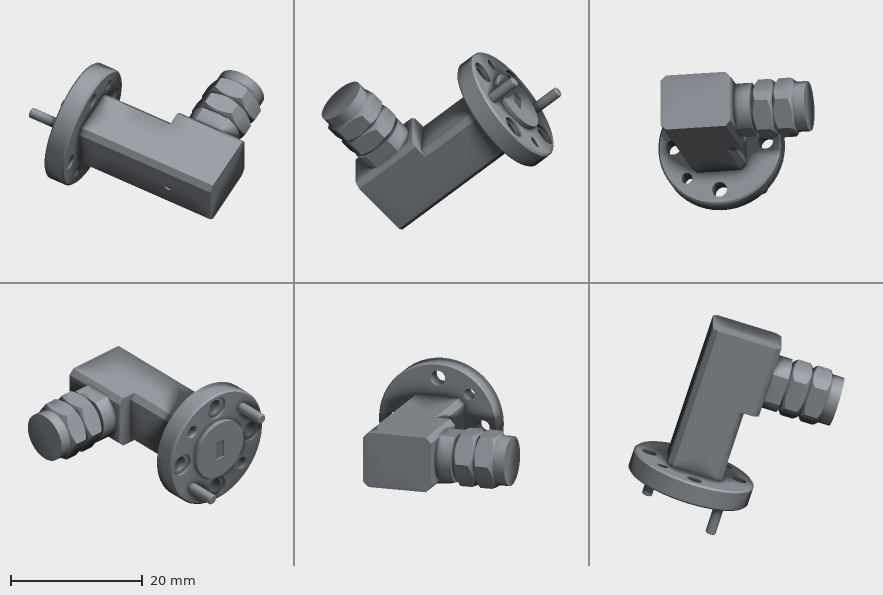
import cadquery as cq
import math


boss_diameter = 9.53
boss_height = 0.75
flange_diameter = 2 * boss_diameter
flange_thickness = 3.33
flange_chamfer = 0.27
flange_front = boss_height
flange_back = flange_front + flange_thickness

opening_width = 1.55
opening_height = 2 * opening_width
opening_depth = 0.25

bolt_circle_diameter = 14.3
screw_hole_diameter = 2.32
counterbore_diameter = 3.6
counterbore_depth = 0.5
pin_diameter = 1.6
pin_hole_chamfer = 0.1
guide_hole_diameter = 1.7
guide_hole_chamfer = 0.15
screw_hole_angles = (0, 90, 180, 270)
pin_angles = (135, 315)
guide_hole_angles = (45, 225)

pin_tip_chamfer = 0.15
pin_projection = 3.85

overall_length = 30.55
block_side = 8.58
block_chamfer = 0.82
block_end = overall_length - pin_projection
wide_length = 11.2
wide_face_y = 6.6

tuning_hole_x = 19.42
tuning_recess_diameter = 1.2
tuning_recess_depth = 0.37
tuning_hole_diameter = 0.67
tuning_hole_chamfer = 0.1
tuning_hole_depth = 0.25
tuning_tip_angle = 118

connector_x = 20.37
base_diameter = 8.4
base_length = 2.47
base_across_flats = 7.2
neck_diameter = 6.95
neck_length = 0.25
nut_across_flats = 7.97
nut_across_corners = nut_across_flats / math.cos(math.pi / 6)
nut_length = 3.18
nut_end_diameter = 7.5
nut_chamfer_length = 0.65
nut_count = 2
sleeve_diameter = 7.65
sleeve_length = 1.77


def cylinder_x(diameter, start, end):
    """Cylinder on the flange axis between two X positions."""
    return cq.Workplane("YZ", origin=(start, 0, 0)).circle(diameter / 2).extrude(end - start)


def cylinder_y(diameter, x, start, length):
    """Cylinder along +Y at z = 0, starting at the given Y position."""
    return cq.Workplane("XZ", origin=(x, start, 0)).circle(diameter / 2).extrude(-length)


def cone_x(start_diameter, end_diameter, length, start):
    """Tapered plug along +X on the flange axis."""
    start_point = cq.Vector(start, 0, 0)
    axis = cq.Vector(1, 0, 0)
    cone = cq.Solid.makeCone(start_diameter / 2, end_diameter / 2, length, pnt=start_point, dir=axis)
    return cq.Workplane(cone)


def on_bolt_circle(shape, angle):
    """Move a shape from the flange axis to the bolt circle, at an angle from +Y towards +Z."""
    turn = math.radians(angle)
    radius = bolt_circle_diameter / 2
    return shape.translate((0, radius * math.cos(turn), radius * math.sin(turn)))


def make_flange():
    disc = cylinder_x(flange_diameter, flange_front, flange_back).edges().chamfer(flange_chamfer)
    return disc.union(cylinder_x(boss_diameter, 0, flange_back))


def make_counterbored_hole():
    hole = cylinder_x(screw_hole_diameter, flange_front, flange_back)
    return hole.union(cylinder_x(counterbore_diameter, flange_front, flange_front + counterbore_depth))


def make_chamfered_hole(diameter, chamfer):
    hole = cylinder_x(diameter, flange_front, flange_back)
    return hole.union(cone_x(diameter + 2 * chamfer, diameter, chamfer, flange_front))


def cut_flange_holes(body):
    for angle in screw_hole_angles:
        body = body.cut(on_bolt_circle(make_counterbored_hole(), angle))
    for angle in pin_angles:
        body = body.cut(on_bolt_circle(make_chamfered_hole(pin_diameter, pin_hole_chamfer), angle))
    for angle in guide_hole_angles:
        body = body.cut(on_bolt_circle(make_chamfered_hole(guide_hole_diameter, guide_hole_chamfer), angle))
    return body


def make_bar(start, face_y):
    """Bar with chamfered long edges, from the block's -Y side to the given +Y face."""
    length = block_end - start
    width = block_side / 2 + face_y
    bar = cq.Workplane("XY").box(length, width, block_side).edges("|X").chamfer(block_chamfer)
    return bar.translate((start + length / 2, face_y - width / 2, 0))


def make_block():
    narrow_bar = make_bar(flange_back, block_side / 2)
    wide_bar = make_bar(block_end - wide_length, wide_face_y)
    return narrow_bar.union(wide_bar)


def make_tuning_hole():
    """Recess with a chamfered hole in its floor that ends in a drill point."""
    face_y = -block_side / 2
    recess_floor = face_y + tuning_recess_depth
    hole_end = recess_floor + tuning_hole_depth
    hole_radius = tuning_hole_diameter / 2
    tip_length = hole_radius / math.tan(math.radians(tuning_tip_angle / 2))
    profile = (
        cq.Workplane("XY")
        .moveTo(0, face_y)
        .lineTo(tuning_recess_diameter / 2, face_y)
        .lineTo(tuning_recess_diameter / 2, recess_floor)
        .lineTo(hole_radius + tuning_hole_chamfer, recess_floor)
        .lineTo(hole_radius, recess_floor + tuning_hole_chamfer)
        .lineTo(hole_radius, hole_end)
        .lineTo(0, hole_end + tip_length)
        .close()
    )
    return profile.revolve(360, (0, 0, 0), (0, 1, 0)).translate((tuning_hole_x, 0, 0))


def make_hex_nut(start):
    """Hexagon along +Y with flats facing +Z and -Z, and both ends turned down to a cone."""
    hexagon = cq.Workplane("XZ").polygon(6, nut_across_corners).extrude(-nut_length)
    end_radius = nut_end_diameter / 2
    corner_radius = nut_across_corners / 2
    envelope = (
        cq.Workplane("XY")
        .moveTo(0, 0)
        .lineTo(end_radius, 0)
        .lineTo(corner_radius, nut_chamfer_length)
        .lineTo(corner_radius, nut_length - nut_chamfer_length)
        .lineTo(end_radius, nut_length)
        .lineTo(0, nut_length)
        .close()
        .revolve(360, (0, 0, 0), (0, 1, 0))
    )
    return hexagon.intersect(envelope).translate((connector_x, start, 0))


def make_connector():
    neck_start = wide_face_y + base_length
    nuts_start = neck_start + neck_length
    sleeve_start = nuts_start + nut_count * nut_length

    flats = cq.Workplane("XY").box(base_diameter, 2 * base_length, base_across_flats)
    base = cylinder_y(base_diameter, connector_x, wide_face_y, base_length)
    connector = base.intersect(flats.translate((connector_x, neck_start - base_length, 0)))

    connector = connector.union(cylinder_y(neck_diameter, connector_x, neck_start, neck_length))
    for index in range(nut_count):
        connector = connector.union(make_hex_nut(nuts_start + index * nut_length))
    return connector.union(cylinder_y(sleeve_diameter, connector_x, sleeve_start, sleeve_length))


def make_housing():
    """Flange, block and connector in one piece."""
    opening = cq.Workplane("YZ").rect(opening_width, opening_height).extrude(opening_depth)
    body = cut_flange_holes(make_flange()).cut(opening)
    return body.union(make_block().cut(make_tuning_hole())).union(make_connector())


def make_pin(angle):
    """Dowel pin filling its flange hole, with a chamfered tip in front of the mating face."""
    pin = cylinder_x(pin_diameter, -pin_projection, flange_back)
    return on_bolt_circle(pin.faces("<X").chamfer(pin_tip_chamfer), angle)


housing = make_housing()
pins = [make_pin(angle) for angle in pin_angles]

result = cq.Compound.makeCompound([housing.val(), *(pin.val() for pin in pins)])